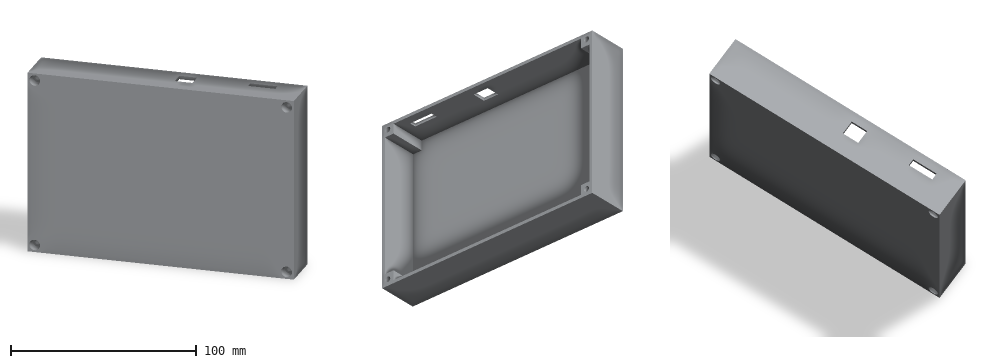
import cadquery as cq

LENGTH = 150.0
DEPTH = 25.0
HEIGHT = 102.5
WALL = 2.0

SCREW_INSET = 4.0
POST_SIZE = 2 * SCREW_INSET
SCREW_DIAMETER = 3.5
HEAD_DIAMETER = 6.0
HEAD_DEPTH = 6.0

OPENING_BACK_INSET = 5.5
SOCKET_LEFT = 79.5
SOCKET_LENGTH = 10.0
SOCKET_WIDTH = 8.5
SLOT_LEFT = 119.5
SLOT_LENGTH = 15.3
SLOT_WIDTH = 4.2


def box_at(x, y, z, length, depth, height):
    """Box whose lowest corner is at (x, y, z)."""
    return cq.Workplane("XY").box(length, depth, height, centered=False).translate((x, y, z))


def cylinder_along_y(x, z, diameter, depth):
    """Cylinder running from the front face towards +Y."""
    return cq.Workplane("XZ", origin=(x, 0, z)).circle(diameter / 2).extrude(-depth)


def hollow_box():
    """Front panel with four side walls around an open back."""
    outer = box_at(0, 0, 0, LENGTH, DEPTH, HEIGHT)
    cavity = box_at(WALL, WALL, WALL, LENGTH - 2 * WALL, DEPTH - WALL, HEIGHT - 2 * WALL)
    return outer.cut(cavity)


def screw_post(x, z):
    """Square post centred on a screw, running the full depth of the box."""
    return box_at(x - POST_SIZE / 2, 0, z - POST_SIZE / 2, POST_SIZE, DEPTH, POST_SIZE)


def screw_hole(x, z):
    """Through hole with a counterbore in the front face."""
    shank = cylinder_along_y(x, z, SCREW_DIAMETER, DEPTH)
    head = cylinder_along_y(x, z, HEAD_DIAMETER, HEAD_DEPTH)
    return shank.union(head)


def top_opening(left, length, width):
    """Rectangular cutter through the top wall, set in from the open back."""
    front = DEPTH - OPENING_BACK_INSET - width
    return box_at(left, front, HEIGHT - WALL, length, width, WALL)


result = hollow_box()

for screw_x in (SCREW_INSET, LENGTH - SCREW_INSET):
    for screw_z in (SCREW_INSET, HEIGHT - SCREW_INSET):
        result = result.union(screw_post(screw_x, screw_z))
        result = result.cut(screw_hole(screw_x, screw_z))

result = result.cut(top_opening(SOCKET_LEFT, SOCKET_LENGTH, SOCKET_WIDTH))
result = result.cut(top_opening(SLOT_LEFT, SLOT_LENGTH, SLOT_WIDTH))